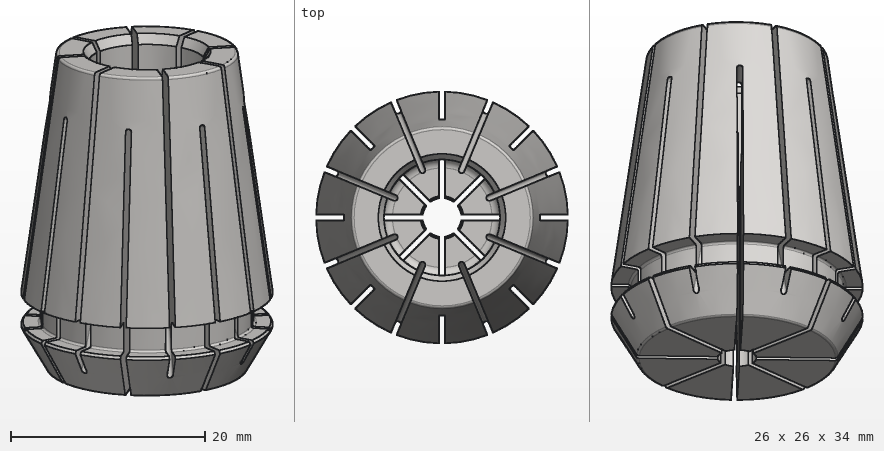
import cadquery as cq
import math

height = 34.0
max_radius = 13.0

nose_rim_height = 4.65
nose_cone_angle = 30.0
nose_fillet = 0.3
rim_chamfer_width = 0.2
rim_chamfer_height = 0.3

groove_floor_radius = 11.0
groove_bottom = nose_rim_height + rim_chamfer_height
groove_top = 8.1
groove_fillet = 0.25

taper_angle = 8.0
top_fillet = 0.3

bore_radius = 2.0
bore_chamfer = 0.2
counterbore_radius = 6.0
counterbore_floor = 20.57
counterbore_fillet = 0.85
mouth_chamfer_height = 1.02
mouth_chamfer_angle = 30.0

slit_count = 8
slit_width = 0.6
lower_slit_top = 28.6
upper_slit_start_radius = 11.63
upper_slit_start_height = 2.28
upper_slit_angle = 20.0


def cone_run(rise, angle):
    """Radial change of a cone over a given rise."""
    return rise * math.tan(math.radians(angle))


def fillet_midpoint_offset(radius):
    """Distance of a corner fillet's midpoint from each of the two faces it joins."""
    return radius * (1 - math.sqrt(0.5))


def make_body():
    nose_radius = max_radius - cone_run(nose_rim_height, nose_cone_angle)
    top_radius = max_radius - cone_run(height - groove_top, taper_angle)
    fillet_mid = fillet_midpoint_offset(groove_fillet)
    outline = (
        cq.Workplane("XZ")
        .lineTo(nose_radius, 0)
        .lineTo(max_radius, nose_rim_height)
        .lineTo(max_radius - rim_chamfer_width, groove_bottom)
        .lineTo(groove_floor_radius + groove_fillet, groove_bottom)
        .threePointArc(
            (groove_floor_radius + fillet_mid, groove_bottom + fillet_mid),
            (groove_floor_radius, groove_bottom + groove_fillet),
        )
        .lineTo(groove_floor_radius, groove_top - groove_fillet)
        .threePointArc(
            (groove_floor_radius + fillet_mid, groove_top - fillet_mid),
            (groove_floor_radius + groove_fillet, groove_top),
        )
        .lineTo(max_radius, groove_top)
        .lineTo(top_radius, height)
        .lineTo(0, height)
        .close()
    )
    blank = outline.revolve(360, (0, 0, 0), (0, 1, 0))
    return blank.faces(">Z").edges().fillet(top_fillet).faces("<Z").edges().fillet(nose_fillet)


def make_bore():
    mouth_radius = counterbore_radius + cone_run(mouth_chamfer_height, mouth_chamfer_angle)
    fillet_mid = fillet_midpoint_offset(counterbore_fillet)
    outline = (
        cq.Workplane("XZ")
        .lineTo(bore_radius, 0)
        .lineTo(bore_radius, counterbore_floor - bore_chamfer)
        .lineTo(bore_radius + bore_chamfer, counterbore_floor)
        .lineTo(counterbore_radius - counterbore_fillet, counterbore_floor)
        .threePointArc(
            (counterbore_radius - fillet_mid, counterbore_floor + fillet_mid),
            (counterbore_radius, counterbore_floor + counterbore_fillet),
        )
        .lineTo(counterbore_radius, height - mouth_chamfer_height)
        .lineTo(mouth_radius, height)
        .lineTo(0, height)
        .close()
    )
    return outline.revolve(360, (0, 0, 0), (0, 1, 0))


def round_edged_blade(edge_start, edge_direction, edge_length, depth):
    """Slit cutter in the XZ plane: a flat blade whose rounded edge runs along the given line."""
    half = slit_width / 2
    plane = cq.Plane(origin=edge_start, xDir=(0, 1, 0), normal=edge_direction)
    return (
        cq.Workplane(plane)
        .moveTo(-half, -half)
        .threePointArc((0, 0), (half, -half))
        .lineTo(half, -depth)
        .lineTo(-half, -depth)
        .close()
        .extrude(edge_length)
    )


def make_lower_slit():
    """Full-depth slit, open at the nose and ending in a horizontal round edge."""
    return round_edged_blade((0, 0, lower_slit_top), (1, 0, 0), height, height)


def make_upper_slit():
    """Slit open at the top, its end climbing inwards from the nose to the counterbore floor."""
    start = (
        upper_slit_start_radius + cone_run(upper_slit_start_height, upper_slit_angle),
        0,
        0,
    )
    slope = math.radians(upper_slit_angle)
    direction = (-math.sin(slope), 0, math.cos(slope))
    return round_edged_blade(start, direction, start[0] / math.sin(slope), height)


pitch = 360 / slit_count
lower_slit = make_lower_slit()
upper_slit = make_upper_slit()

result = make_body().cut(make_bore())
for index in range(slit_count):
    angle = index * pitch
    result = result.cut(lower_slit.rotate((0, 0, 0), (0, 0, 1), angle))
    result = result.cut(upper_slit.rotate((0, 0, 0), (0, 0, 1), angle + pitch / 2))